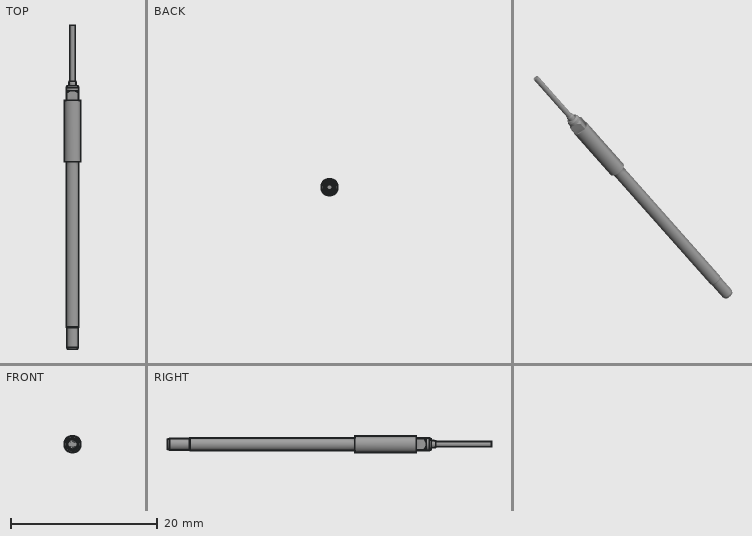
import cadquery as cq

total_length = 44.3

plunger_length = 2.95
barrel_length = 22.65
sleeve_length = 8.4
square_length = 1.35
collar_length = 0.4
collar_cone_length = 0.25
neck_length = 0.4
neck_taper_length = 0.2

plunger_diameter = 1.6
barrel_diameter = 1.73
sleeve_diameter = 2.3
collar_diameter = 1.73
collar_cone_end_diameter = 1.45
neck_diameter = 1.0
neck_end_diameter = 0.9
wire_diameter = 0.75

square_across_flats = 1.73
corner_bevel_length = 0.25
corner_bevel_end_diameter = 1.8

tip_chamfer_length = 0.3
tip_chamfer_depth = 0.15
barrel_bevel_length = 0.15
barrel_bevel_depth = 0.05

barrel_start = plunger_length
sleeve_start = barrel_start + barrel_length
square_start = sleeve_start + sleeve_length
collar_start = square_start + square_length
collar_cone_start = collar_start + collar_length
neck_start = collar_cone_start + collar_cone_length
neck_taper_start = neck_start + neck_length
wire_start = neck_taper_start + neck_taper_length


def turned(stations):
    """Revolve a profile of (diameter, y) stations around the Y axis."""
    outline = [(diameter / 2, y) for diameter, y in stations]
    axis_start = (0, stations[0][1])
    axis_end = (0, stations[-1][1])
    profile = cq.Workplane("XY").polyline([axis_start] + outline + [axis_end]).close()
    return profile.revolve(360, (0, 0, 0), (0, 1, 0))


def make_contact_side():
    """Plunger, barrel and sleeve."""
    return turned([
        (plunger_diameter - 2 * tip_chamfer_depth, 0),
        (plunger_diameter, tip_chamfer_length),
        (plunger_diameter, barrel_start),
        (barrel_diameter - 2 * barrel_bevel_depth, barrel_start),
        (barrel_diameter, barrel_start + barrel_bevel_length),
        (barrel_diameter, sleeve_start),
        (sleeve_diameter, sleeve_start),
        (sleeve_diameter, square_start),
    ])


def make_square():
    """Square section with rounded corners that bevel down towards the collar."""
    blank = turned([
        (sleeve_diameter, square_start),
        (sleeve_diameter, collar_start - corner_bevel_length),
        (corner_bevel_end_diameter, collar_start),
    ])
    flats = cq.Workplane("XY").box(
        square_across_flats, square_length, square_across_flats, centered=(True, False, True)
    ).translate((0, square_start, 0))
    return blank.intersect(flats)


def make_wire_side():
    """Collar, neck and wire."""
    return turned([
        (collar_diameter, collar_start),
        (collar_diameter, collar_cone_start),
        (collar_cone_end_diameter, neck_start),
        (neck_diameter, neck_start),
        (neck_diameter, neck_taper_start),
        (neck_end_diameter, wire_start),
        (wire_diameter, wire_start),
        (wire_diameter, total_length),
    ])


result = make_contact_side().union(make_square()).union(make_wire_side())